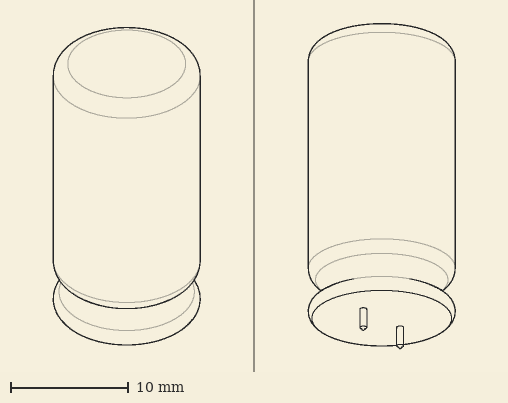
import cadquery as cq
import math

total_height = 27.0
can_diameter = 12.5
pin_diameter = 0.6
pin_spacing = 5.0
pin_length = 2.0
bend_radius = 1.25
neck_height = 2.48
bend_angle = math.radians(60)
base_radius = 5.95
lip_height = 0.65
lip_joint_radius = 5.75
lip_joint_height = 1.38

can_radius = can_diameter / 2
can_height = total_height - pin_length
pin_radius = pin_diameter / 2
inner_radius = can_radius - bend_radius
joint_radius = can_radius - bend_radius * math.cos(bend_angle)
joint_rise = bend_radius * math.sin(bend_angle)
shoulder_height = neck_height + 2 * joint_rise
half_turn = bend_angle / 2
shoulder_mid_radius = inner_radius + bend_radius * math.cos(half_turn)
shoulder_mid_height = shoulder_height - bend_radius * math.sin(half_turn)
top_mid_offset = bend_radius * math.sin(math.radians(45))


def make_can():
    """Revolve the half profile of the can about Z, with its base at Z = 0."""
    profile = (
        cq.Workplane("XZ")
        .lineTo(base_radius, 0)
        .threePointArc((can_radius, lip_height), (lip_joint_radius, lip_joint_height))
        .threePointArc((inner_radius, neck_height), (joint_radius, neck_height + joint_rise))
        .threePointArc((shoulder_mid_radius, shoulder_mid_height), (can_radius, shoulder_height))
        .lineTo(can_radius, can_height - bend_radius)
        .threePointArc(
            (inner_radius + top_mid_offset, can_height - bend_radius + top_mid_offset),
            (inner_radius, can_height),
        )
        .lineTo(0, can_height)
        .close()
    )
    return profile.revolve(360, (0, 0, 0), (0, 1, 0))


def make_pin(x):
    """Revolve a round pin with a 45 degree pointed tip, hanging from the base at x."""
    profile = (
        cq.Workplane("XZ")
        .lineTo(pin_radius, 0)
        .lineTo(pin_radius, pin_radius - pin_length)
        .lineTo(0, -pin_length)
        .close()
    )
    return profile.revolve(360, (0, 0, 0), (0, 1, 0)).translate((x, 0, 0))


result = make_can()
for side in (-1, 1):
    result = result.union(make_pin(side * pin_spacing / 2))